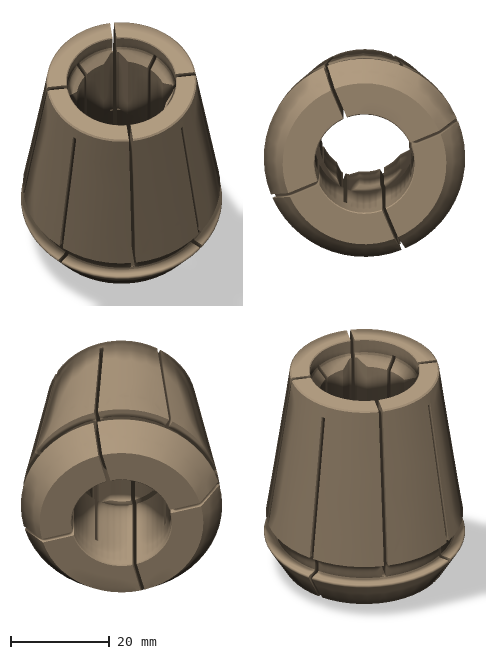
import cadquery as cq
import math

height = 46.0
flange_top = 7.1
groove_top = 11.3

flange_diameter = 40.8
flange_radius = flange_diameter / 2
groove_radius = 18.1
cone_base_radius = 20.0
cone_half_angle = math.radians(8)
flange_half_angle = math.radians(30)
flange_edge_fillet = 0.35
groove_root_chamfer = 0.28
top_edge_chamfer = 0.28

shank_bore_radius = 10.1
shank_mouth_chamfer = 0.2
square_floor = height / 2
square_side = 15.9
square_relief_radius = 9.1
square_corner_radius = 10.5
counterbore_radius = 11.1
counterbore_floor = 42.85
counterbore_edge_chamfer = 0.2
floor_bevel_width = 0.25
floor_bevel_height = 0.45

slot_width = 0.85
lower_slot_top = 43.2
upper_slot_floor = 7.45

cone_top_radius = cone_base_radius - (height - groove_top) * math.tan(cone_half_angle)


def outer_body():
    """Revolve the outside: flange, retaining groove and long cone."""
    fillet = flange_edge_fillet
    fillet_center_radius = flange_radius - fillet
    fillet_center_height = flange_top - fillet
    tangent_radius = fillet_center_radius + fillet * math.cos(flange_half_angle)
    tangent_height = fillet_center_height - fillet * math.sin(flange_half_angle)
    flange_base_radius = tangent_radius - tangent_height * math.tan(flange_half_angle)
    root = groove_root_chamfer
    chamfer_base = height - top_edge_chamfer
    chamfer_base_radius = cone_top_radius + top_edge_chamfer * math.tan(cone_half_angle)
    return (
        cq.Workplane("XZ")
        .moveTo(0, 0)
        .lineTo(flange_base_radius, 0)
        .lineTo(tangent_radius, tangent_height)
        .threePointArc((flange_radius, fillet_center_height), (fillet_center_radius, flange_top))
        .lineTo(groove_radius + root, flange_top)
        .lineTo(groove_radius, flange_top + root)
        .lineTo(groove_radius, groove_top - root)
        .lineTo(groove_radius + root, groove_top)
        .lineTo(cone_base_radius, groove_top)
        .lineTo(chamfer_base_radius, chamfer_base)
        .lineTo(cone_top_radius - top_edge_chamfer, height)
        .lineTo(0, height)
        .close()
        .revolve(360, (0, 0, 0), (0, 1, 0))
    )


def cylinder(radius, bottom, top):
    """Upright cylinder on the collet axis between two heights."""
    return cq.Workplane("XY").workplane(offset=bottom).circle(radius).extrude(top - bottom)


def shank_bore():
    """Round bore that grips the tool shank, open and chamfered at the base."""
    mouth = (
        cq.Workplane("XY")
        .circle(shank_bore_radius + shank_mouth_chamfer)
        .extrude(shank_mouth_chamfer, taper=45)
    )
    return cylinder(shank_bore_radius, 0, square_floor).union(mouth)


def square_drive():
    """Square socket with corners cut by one circle and its flats relieved by a smaller one."""
    depth = height - square_floor
    square = cq.Workplane("XY").workplane(offset=square_floor).rect(square_side, square_side).extrude(depth)
    corner_limit = cylinder(square_corner_radius, square_floor, height)
    relief = cylinder(square_relief_radius, square_floor, height)
    return square.intersect(corner_limit).union(relief)


def counterbore():
    """Counterbore with a beveled floor edge and a 45 degree lead-in to the square drive."""
    lead_in_radius = counterbore_radius - floor_bevel_width
    lead_in_top = counterbore_floor - floor_bevel_height
    edge = counterbore_edge_chamfer
    return (
        cq.Workplane("XZ")
        .moveTo(0, lead_in_top - lead_in_radius)
        .lineTo(lead_in_radius, lead_in_top)
        .lineTo(counterbore_radius, counterbore_floor)
        .lineTo(counterbore_radius, height - edge)
        .lineTo(counterbore_radius + edge, height)
        .lineTo(0, height)
        .close()
        .revolve(360, (0, 0, 0), (0, 1, 0))
    )


def crossed_slots(bottom, top, angle):
    """Two perpendicular slots through the axis, turned by the given angle."""
    length = 2 * flange_radius + slot_width
    slot = cq.Workplane("XY").workplane(offset=bottom).rect(length, slot_width).extrude(top - bottom)
    cross = slot.union(slot.rotate((0, 0, 0), (0, 0, 1), 90))
    return cross.rotate((0, 0, 0), (0, 0, 1), angle)


result = outer_body().cut(shank_bore()).cut(square_drive()).cut(counterbore())
result = result.cut(crossed_slots(0, lower_slot_top, 0))
result = result.cut(crossed_slots(upper_slot_floor, height, 45))